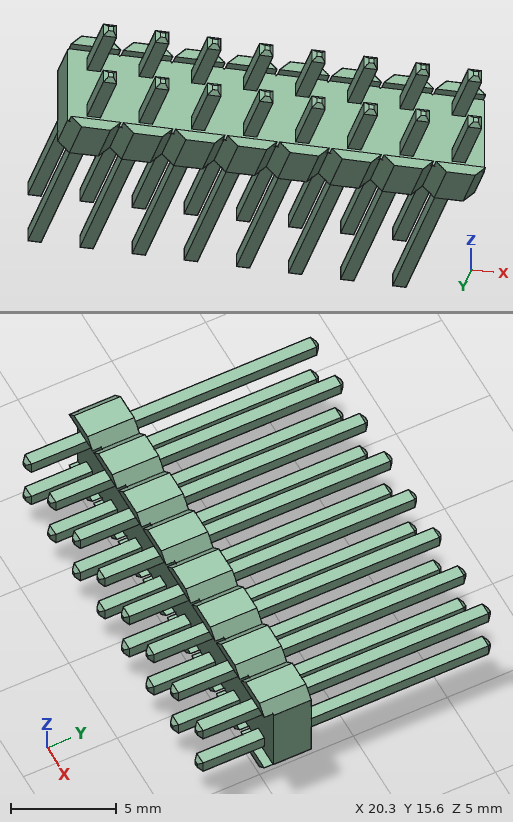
import cadquery as cq

length = 20.32
column_count = 8
pitch = length / column_count
row_count = 2

housing_height = 5.0
housing_depth = 2.48
lip_height = 0.5
lip_depth = 0.47
corner_chamfer = 0.57

pin_width = 0.65
pin_front_reach = 3.0
pin_rear_reach = 10.12
tip_chamfer = 0.2


def centred_positions(count):
    """Coordinates of count points, one pitch apart, centred on zero."""
    return [(i - (count - 1) / 2) * pitch for i in range(count)]


def make_housing():
    """Row of chamfered cells, with the front face recessed between the lips."""
    cell = (
        cq.Workplane("XY")
        .box(pitch, housing_depth, housing_height, centered=(True, False, True))
        .translate((0, -housing_depth, 0))
        .edges("|Y")
        .chamfer(corner_chamfer)
    )
    housing = cq.Workplane("XY")
    for x in centred_positions(column_count):
        housing = housing.union(cell.translate((x, 0, 0)))

    recess = (
        cq.Workplane("XY")
        .box(length, lip_depth, housing_height - 2 * lip_height, centered=(True, False, True))
        .translate((0, -housing_depth, 0))
    )
    return housing.cut(recess)


def make_pin():
    """Pin on the Y axis, reaching out of both sides of the housing."""
    front_end = -housing_depth - pin_front_reach
    pin_length = pin_rear_reach - front_end
    return (
        cq.Workplane("XY")
        .box(pin_width, pin_length, pin_width, centered=(True, False, True))
        .translate((0, front_end, 0))
        .faces("<Y or >Y")
        .chamfer(tip_chamfer)
    )


result = make_housing()
pin = make_pin()
for column_x in centred_positions(column_count):
    for row_z in centred_positions(row_count):
        result = result.union(pin.translate((column_x, 0, row_z)))